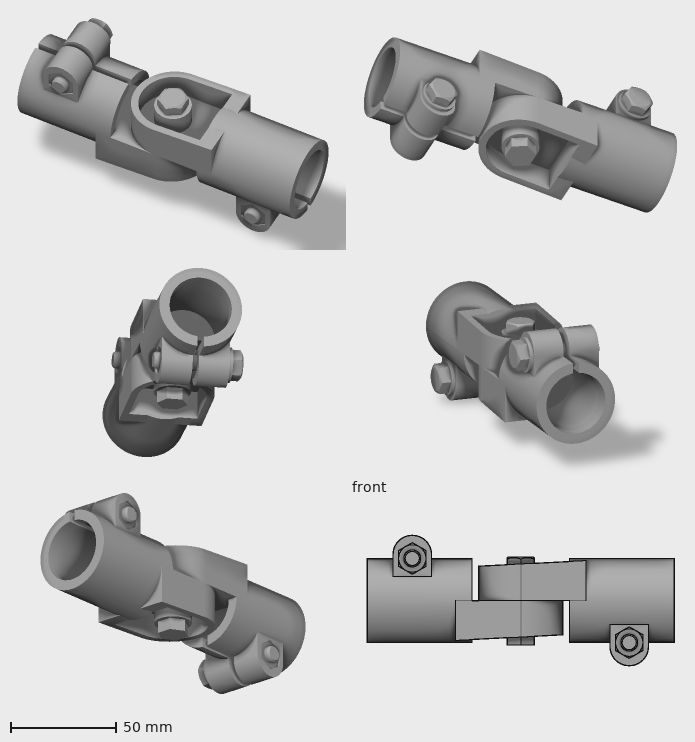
import cadquery as cq
import math


overall_length = 146.0
half_length = overall_length / 2
socket_radius = 20.0
bore_radius = 15.0
socket_length = 50.0
socket_start = half_length - socket_length
end_wall_thickness = 7.2
end_wall_stop = socket_start + end_wall_thickness

knuckle_radius = socket_radius
knuckle_end = 31.1
knuckle_low_height = 16.4
knuckle_high_height = 19.0
knuckle_wall = 3.5
pocket_radius = knuckle_radius - knuckle_wall
pocket_floor = 5.0
boss_diameter = 18.0
boss_height = 15.3

lug_x = 51.5
lug_half_width = 16.5
lug_radius = 9.2
overall_height = 62.0
lug_reach = overall_height / 2
lug_arc_z = lug_reach - lug_radius
lug_foot_z = math.sqrt(socket_radius**2 - lug_half_width**2)
slot_width = 3.0

clamp_axis_z = socket_radius
shank_diameter = 8.0
clearance_diameter = 9.0
hex_width = 13.0
head_height = 5.4
head_face_diameter = 11.5
washer_diameter = 17.0
washer_thickness = 1.8
clamp_nut_height = 6.4
clamp_nut_recess = 0.7
clamp_nut_face_diameter = hex_width
tip_diameter = 6.7
tip_reach = 2.5
tip_taper_length = 1.0
pivot_nut_height = 5.8
hex_chamfer_angle = 30.0
hex_half_step = 30.0


def cylinder(diameter, height, base=0.0):
    """Cylinder along +Z from the given base height."""
    return cq.Workplane("XY").workplane(offset=base).circle(diameter / 2).extrude(height)


def hex_prism(height, base=0.0):
    """Hexagonal prism along +Z with its corners on the X axis."""
    corner_diameter = hex_width / math.cos(math.radians(hex_half_step))
    return cq.Workplane("XY").workplane(offset=base).polygon(6, corner_diameter).extrude(height)


def chamfered_hex(height, face_diameter):
    """Hexagonal prism on Z = 0 whose upper corners are turned down to a round end face."""
    envelope_radius = hex_width
    cone_drop = (envelope_radius - face_diameter / 2) * math.tan(math.radians(hex_chamfer_angle))
    envelope = (
        cq.Workplane("XZ")
        .lineTo(envelope_radius, 0)
        .lineTo(envelope_radius, height - cone_drop)
        .lineTo(face_diameter / 2, height)
        .lineTo(0, height)
        .close()
        .revolve(360, (0, 0, 0), (0, 1, 0))
    )
    return hex_prism(height).intersect(envelope)


def along_y(body, x, y, z):
    """Turn a +Z body to point along +Y and move it to the given point."""
    return body.rotate((0, 0, 0), (1, 0, 0), -90).translate((x, y, z))


def turned_over(body):
    """Half turn about Y, which carries one half of the connector onto the other."""
    return body.rotate((0, 0, 0), (0, 1, 0), 180)


def x_cylinder(radius, start, stop):
    """Cylinder on the X axis between two X positions."""
    return cq.Workplane("YZ").workplane(offset=start).circle(radius).extrude(stop - start)


def stadium(radius, stop):
    """Plan outline with a round end about the pivot and a square end at X = stop."""
    return (
        cq.Workplane("XY")
        .moveTo(0, radius)
        .threePointArc((-radius, 0), (0, -radius))
        .lineTo(stop, -radius)
        .lineTo(stop, radius)
        .close()
    )


def make_knuckle():
    """Round-ended block with a sloping top."""
    slope_side = (
        cq.Workplane("XZ")
        .moveTo(-knuckle_radius, 0)
        .lineTo(-knuckle_radius, knuckle_low_height)
        .lineTo(knuckle_end, knuckle_high_height)
        .lineTo(knuckle_end, 0)
        .close()
        .extrude(knuckle_radius, both=True)
    )
    return stadium(knuckle_radius, knuckle_end).extrude(knuckle_high_height).intersect(slope_side)


def make_pocket():
    """Space inside the knuckle, open at the top, around the pivot boss."""
    pocket = stadium(pocket_radius, socket_start).extrude(knuckle_high_height)
    pocket = pocket.translate((0, 0, pocket_floor))
    return pocket.cut(cylinder(boss_diameter, boss_height))


def make_lug():
    """Clamp lug below the socket, round at its lower end."""
    return (
        cq.Workplane("XZ", origin=(lug_x, 0, 0))
        .moveTo(-lug_radius, -lug_foot_z)
        .lineTo(-lug_radius, -lug_arc_z)
        .threePointArc((0, -lug_reach), (lug_radius, -lug_arc_z))
        .lineTo(lug_radius, -lug_foot_z)
        .close()
        .extrude(lug_half_width, both=True)
    )


def make_bore():
    """Tube bore; beside the pocket only its lower half is open, which leaves the end wall."""
    lower_side = cq.Workplane("XY").box(
        overall_length, 2 * bore_radius, bore_radius, centered=(True, True, False)
    ).translate((0, 0, -bore_radius))
    half_bore = x_cylinder(bore_radius, socket_start, end_wall_stop).intersect(lower_side)
    return x_cylinder(bore_radius, end_wall_stop, half_length).union(half_bore)


def make_slot():
    """Clamping slot through the lower socket wall and the lug."""
    return cq.Workplane("XY").box(
        socket_length, slot_width, lug_reach, centered=(False, True, False)
    ).translate((socket_start, 0, -lug_reach))


def make_clamp_hole():
    """Clearance hole across the lugs with a hexagonal nut seat on the -Y side."""
    hole = cylinder(clearance_diameter, 2 * lug_half_width)
    nut_seat = hex_prism(clamp_nut_height + clamp_nut_recess).rotate((0, 0, 0), (0, 0, 1), hex_half_step)
    return along_y(hole.union(nut_seat), lug_x, -lug_half_width, -clamp_axis_z)


def make_half():
    """Right-hand connector half, with its knuckle above Z = 0 and its lug below the socket."""
    return (
        x_cylinder(socket_radius, socket_start, half_length)
        .union(make_knuckle())
        .union(make_lug())
        .cut(make_pocket())
        .cut(make_bore())
        .cut(make_slot())
        .cut(make_clamp_hole())
    )


def make_pivot():
    """Pivot pin with a chamfered hexagonal head on top and a plain hexagon below."""
    head = chamfered_hex(head_height, head_face_diameter).translate((0, 0, boss_height))
    shank = cylinder(shank_diameter, 2 * boss_height, -boss_height)
    nut = hex_prism(pivot_nut_height, -boss_height - pivot_nut_height)
    return shank.union(head).union(nut).rotate((0, 0, 0), (0, 0, 1), hex_half_step)


def make_upper_half():
    """Half whose knuckle turns freely on the pivot."""
    return make_half().cut(cylinder(clearance_diameter, boss_height))


def make_lower_half():
    """Turned-over half that carries the pivot as one piece with it."""
    return turned_over(make_half()).union(make_pivot())


def make_clamp_bolt():
    """Clamp bolt with its washer at +Y and its nut at -Y, placed in the right-hand lugs."""
    length = 2 * lug_half_width + tip_reach
    shank = (
        cylinder(shank_diameter, length)
        .faces("<Z")
        .chamfer(tip_taper_length, (shank_diameter - tip_diameter) / 2)
    )
    washer = cylinder(washer_diameter, washer_thickness, length)
    head = chamfered_hex(head_height, head_face_diameter).translate((0, 0, length + washer_thickness))
    nut_face = tip_reach + clamp_nut_recess
    nut = (
        chamfered_hex(clamp_nut_height, clamp_nut_face_diameter)
        .rotate((0, 0, 0), (1, 0, 0), 180)
        .rotate((0, 0, 0), (0, 0, 1), hex_half_step)
        .translate((0, 0, nut_face + clamp_nut_height))
    )
    bolt = shank.union(washer).union(head).union(nut)
    return along_y(bolt, lug_x, -lug_half_width - tip_reach, -clamp_axis_z)


upper_half = make_upper_half()
lower_half = make_lower_half()

clamp_bolts = []
for turn_angle in (0, 180):
    clamp_bolts.append(make_clamp_bolt().rotate((0, 0, 0), (0, 1, 0), turn_angle))

result = cq.Compound.makeCompound(
    [upper_half.val(), lower_half.val(), *[bolt.val() for bolt in clamp_bolts]]
)